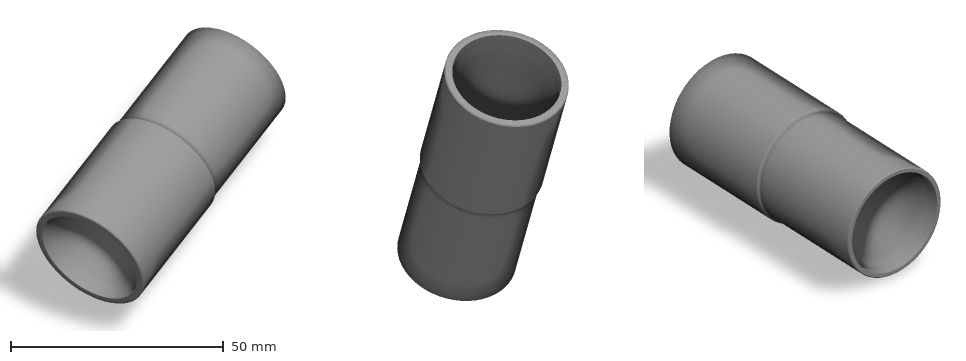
import cadquery as cq

LENGTH = 65.0
WIDE_DIAMETER = 29.7
SLIM_DIAMETER = 28.5
BORE_DIAMETER = 26.1
RIM_CHAMFER = 0.25
ROOT_BEVEL = 0.3

HALF_LENGTH = LENGTH / 2
WIDE_RADIUS = WIDE_DIAMETER / 2
SLIM_RADIUS = SLIM_DIAMETER / 2
BORE_RADIUS = BORE_DIAMETER / 2


def wall_section():
    """Half section of the wall in the YZ plane, as (Y, Z) points around the outline."""
    wide_end = [
        (-HALF_LENGTH, BORE_RADIUS),
        (-HALF_LENGTH, WIDE_RADIUS - RIM_CHAMFER),
        (-HALF_LENGTH + RIM_CHAMFER, WIDE_RADIUS),
    ]
    shoulder = [
        (-RIM_CHAMFER, WIDE_RADIUS),
        (0, WIDE_RADIUS - RIM_CHAMFER),
        (0, SLIM_RADIUS + ROOT_BEVEL),
        (ROOT_BEVEL, SLIM_RADIUS),
    ]
    slim_end = [
        (HALF_LENGTH - RIM_CHAMFER, SLIM_RADIUS),
        (HALF_LENGTH, SLIM_RADIUS - RIM_CHAMFER),
        (HALF_LENGTH, BORE_RADIUS),
    ]
    return cq.Workplane("YZ").polyline(wide_end + shoulder + slim_end).close()


def sleeve():
    """Wall section turned a full revolution about the Y axis."""
    axis_start = (0, 0)
    axis_end = (1, 0)
    return wall_section().revolve(360, axis_start, axis_end)


result = sleeve()